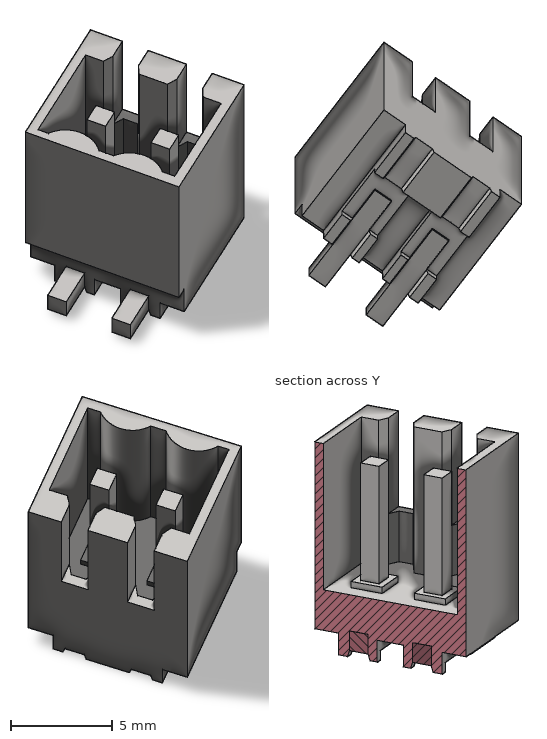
import cadquery as cq


HEIGHT = 11.05
WIDTH = 8.4
DEPTH = 7.46
STEP_DEPTH = 0.6
STEP_TOP = 2.82
BASE_BOTTOM = 1.15
PITCH = 3.5
POLE_XS = [-PITCH / 2, PITCH / 2]

FEET_WIDTH = 5.77
CROSS_NOTCH_FRONT = 2.14
CROSS_NOTCH_BACK = 4.86
CROSS_NOTCH_TOP = 0.51
MIDDLE_GAP_WIDTH = 1.43

PIN_WIDTH = 1.02
PIN_THICKNESS = 1.04
PIN_BOTTOM = 0.33
PIN_FRONT = -1.5
PIN_BACK = 4.03
PIN_TOP = 9.86
FLARE_WIDTH = 1.23

SIDE_WALL = 0.5
CAVITY_FLOOR = STEP_TOP + SIDE_WALL
CAVITY_BACK = 5.86
LEFT_FRONT_WALL = 0.41
MIDDLE_FRONT_WALL = 0.46
RIGHT_FRONT_WALL = 0.55
RIB_RADIUS = 1.68
RIB_CREST = 1.14
KEYWAY_MOUTH = 1.97
KEYWAY_END = 0.77
KEYWAY_BACK = 6.91

SLOT_WIDTH = 1.4
SLOT_FLOOR = 5.99

COLLAR_SIZE = 1.72
COLLAR_HEIGHT = 0.33


def block(x_range, y_range, z_range):
    """Axis-aligned box between pairs of limits."""
    sizes = [high - low for low, high in (x_range, y_range, z_range)]
    corner = (x_range[0], y_range[0], z_range[0])
    return cq.Workplane("XY").box(*sizes, centered=False).translate(corner)


def centred(x, width):
    """X limits of a feature of the given width centred at x."""
    return (x - width / 2, x + width / 2)


def make_pin(x):
    """L-shaped pin: a tail leaving at the front and an upright contact."""
    outline = [
        (PIN_FRONT, PIN_BOTTOM),
        (PIN_BACK, PIN_BOTTOM),
        (PIN_BACK, PIN_TOP),
        (PIN_BACK - PIN_THICKNESS, PIN_TOP),
        (PIN_BACK - PIN_THICKNESS, PIN_BOTTOM + PIN_THICKNESS),
        (PIN_FRONT, PIN_BOTTOM + PIN_THICKNESS),
    ]
    left_side = cq.Workplane("YZ", origin=(x - PIN_WIDTH / 2, 0, 0))
    return left_side.polyline(outline).close().extrude(PIN_WIDTH)


def make_solid_body():
    """Solid block with the front step, standing on one wide foot."""
    outer = block(centred(0, WIDTH), (0, DEPTH), (BASE_BOTTOM, HEIGHT))
    step = block(centred(0, WIDTH), (0, STEP_DEPTH), (BASE_BOTTOM, STEP_TOP))
    foot = block(centred(0, FEET_WIDTH), (STEP_DEPTH, DEPTH), (0, BASE_BOTTOM))
    return outer.cut(step).union(foot)


def make_cavity():
    """Space inside the shroud: stepped rectangle plus keyways, less the round ribs and the collars."""
    half_width = WIDTH / 2 - SIDE_WALL
    left_pole, right_pole = POLE_XS
    outline = [
        (-half_width, CAVITY_BACK),
        (-half_width, LEFT_FRONT_WALL),
        (left_pole, LEFT_FRONT_WALL),
        (left_pole, MIDDLE_FRONT_WALL),
        (right_pole, MIDDLE_FRONT_WALL),
        (right_pole, RIGHT_FRONT_WALL),
        (half_width, RIGHT_FRONT_WALL),
        (half_width, CAVITY_BACK),
    ]
    depth = HEIGHT - CAVITY_FLOOR
    floor = cq.Workplane("XY", origin=(0, 0, CAVITY_FLOOR))
    cavity = floor.polyline(outline).close().extrude(depth)
    collar_y = PIN_BACK - PIN_THICKNESS / 2
    for x in POLE_XS:
        keyway = [
            (x - KEYWAY_MOUTH / 2, CAVITY_BACK),
            (x + KEYWAY_MOUTH / 2, CAVITY_BACK),
            (x + KEYWAY_END / 2, KEYWAY_BACK),
            (x - KEYWAY_END / 2, KEYWAY_BACK),
        ]
        cavity = cavity.union(floor.polyline(keyway).close().extrude(depth))
        rib = floor.center(x, RIB_CREST - RIB_RADIUS).circle(RIB_RADIUS).extrude(depth)
        collar = floor.center(x, collar_y).rect(COLLAR_SIZE, COLLAR_SIZE).extrude(COLLAR_HEIGHT)
        cavity = cavity.cut(rib).cut(collar)
    return cavity


def make_back_slot(x):
    """Slot through the back wall, opening a keyway to the outside."""
    return block(centred(x, SLOT_WIDTH), (CAVITY_BACK, DEPTH), (SLOT_FLOOR, HEIGHT))


def make_channel_mouth(x):
    """Flared mouth under the pin tail, running the full depth of the feet."""
    outline = [
        (x - FLARE_WIDTH / 2, 0),
        (x + FLARE_WIDTH / 2, 0),
        (x + PIN_WIDTH / 2, PIN_BOTTOM),
        (x - PIN_WIDTH / 2, PIN_BOTTOM),
    ]
    return cq.Workplane("XZ").polyline(outline).close().extrude(-DEPTH)


def make_housing(pins):
    """Housing with its cavity, slots and feet, and a matching hole for every pin."""
    housing = make_solid_body().cut(make_cavity())
    cross_notch = block(
        centred(0, FEET_WIDTH), (CROSS_NOTCH_FRONT, CROSS_NOTCH_BACK), (0, CROSS_NOTCH_TOP)
    )
    middle_gap = block(centred(0, MIDDLE_GAP_WIDTH), (STEP_DEPTH, CROSS_NOTCH_BACK), (0, BASE_BOTTOM))
    housing = housing.cut(cross_notch).cut(middle_gap)
    for x in POLE_XS:
        housing = housing.cut(make_back_slot(x)).cut(make_channel_mouth(x))
    for pin in pins:
        housing = housing.cut(pin)
    return housing


pins = [make_pin(x) for x in POLE_XS]
housing = make_housing(pins)

result = cq.Compound.makeCompound([housing.val(), *[pin.val() for pin in pins]])